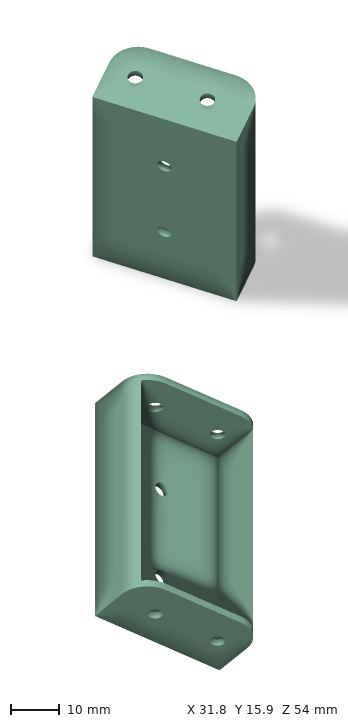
import cadquery as cq

width = 31.75
depth = 15.875
height = 53.975
wall = 1.5875
corner_radius = 6.35
hole_diameter = 3.175

end_hole_x = (6.35, 22.225)
end_hole_y = depth / 2
front_hole_x = width / 2
front_hole_z = (15.875, 38.1)


def outer_block():
    """Solid block with its two rear vertical edges rounded."""
    block = cq.Workplane("XY").box(width, depth, height, centered=False)
    return block.edges("|Z and >Y").fillet(corner_radius)


def rear_pocket():
    """Straight-sided cavity, open to the rear, that leaves a front wall, two sides and two end plates."""
    return (
        cq.Workplane("XY")
        .box(width - 2 * wall, depth - wall, height - 2 * wall, centered=False)
        .translate((wall, wall, wall))
    )


def end_hole(x):
    """Vertical cutter through both end plates."""
    return cq.Workplane("XY").center(x, end_hole_y).circle(hole_diameter / 2).extrude(height)


def front_hole(z):
    """Cutter along Y through the front wall."""
    return cq.Workplane("XZ").center(front_hole_x, z).circle(hole_diameter / 2).extrude(-wall)


result = outer_block().cut(rear_pocket())
for x in end_hole_x:
    result = result.cut(end_hole(x))
for z in front_hole_z:
    result = result.cut(front_hole(z))